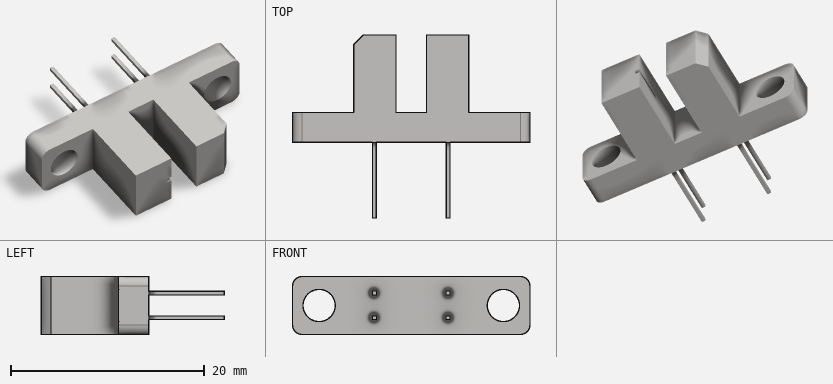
import cadquery as cq


base_length = 24.5
base_thickness = 3.1
body_height = 6.0
corner_radius = 1.0

hole_diameter = 3.3
hole_spacing = 19.0

towers_span = 11.9
gap_width = 3.1
tower_length = 8.0
tower_chamfer = 1.0

slit_height = 0.5
slit_length = 3.8
slit_depth = 0.5

lead_size = 0.4
lead_length = 7.8
lead_spacing_x = 7.6
lead_spacing_z = 2.54

tower_width = (towers_span - gap_width) / 2
tower_offset = (gap_width + tower_width) / 2
tower_tip_y = base_thickness + tower_length


def make_base():
    """Flange plate with rounded corners and two through mounting holes."""
    plate = cq.Workplane("XY").box(
        base_length, base_thickness, body_height, centered=(True, False, True)
    )
    plate = plate.edges("|Y").fillet(corner_radius)
    holes = (
        cq.Workplane("XZ")
        .pushPoints([(-hole_spacing / 2, 0), (hole_spacing / 2, 0)])
        .circle(hole_diameter / 2)
        .extrude(-base_thickness)
    )
    return plate.cut(holes)


def make_tower(center_x):
    """Full-height tower standing on the base."""
    return (
        cq.Workplane("XY")
        .box(tower_width, tower_length, body_height, centered=(True, False, True))
        .translate((center_x, base_thickness, 0))
    )


def make_slit():
    """Cutter for the horizontal slit, open to the gap and to the tower tip."""
    return (
        cq.Workplane("XY")
        .box(slit_depth, slit_length, slit_height, centered=(False, False, True))
        .translate((gap_width / 2, tower_tip_y - slit_length, 0))
    )


def make_leads():
    """Four square leads extending toward -Y."""
    return (
        cq.Workplane("XZ")
        .rarray(lead_spacing_x, lead_spacing_z, 2, 2)
        .rect(lead_size, lead_size)
        .extrude(lead_length)
    )


marked_tower = make_tower(-tower_offset).edges("|Z and >Y and <X").chamfer(tower_chamfer)
slit_tower = make_tower(tower_offset).cut(make_slit())

result = make_base().union(marked_tower).union(slit_tower).union(make_leads())